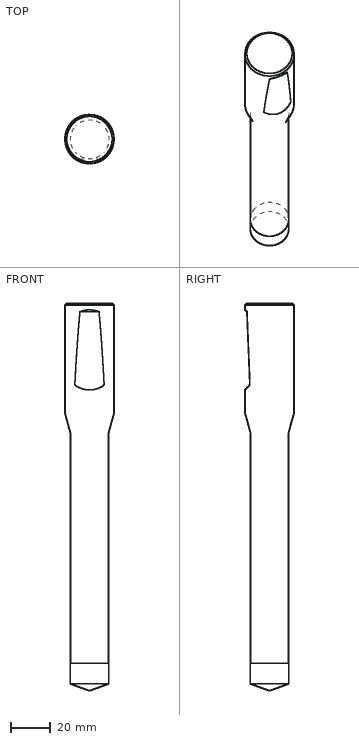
import cadquery as cq
import math

total_length = 196.5
shank_length = 55.8
collar_length = 10.0
tip_length = 14.0

shank_diameter = 25.0
drill_diameter = 19.5
tip_diameter = 19.6
shank_chamfer = 1.0
point_angle = 140.0

flat_top_gap = 4.3
flat_length = 37.1
flat_top_depth = 1.0
flat_tilt = 2.3
flat_fillet = 1.5

shank_radius = shank_diameter / 2
drill_radius = drill_diameter / 2
tip_radius = tip_diameter / 2
point_height = tip_radius / math.tan(math.radians(point_angle / 2))
collar_top = total_length - shank_length
collar_bottom = collar_top - collar_length


def make_flat_cutter():
    """Wedge with a tilted floor and 45 degree walls at both ends."""
    margin = 2.0
    top_z = total_length - flat_top_gap
    bottom_z = top_z - flat_length
    bottom_depth = flat_top_depth + flat_length * math.tan(math.radians(flat_tilt))
    outer_y = -shank_radius - margin
    profile = [
        (outer_y, top_z + flat_top_depth + margin),
        (-shank_radius + flat_top_depth, top_z),
        (-shank_radius + bottom_depth, bottom_z),
        (outer_y, bottom_z - bottom_depth - margin),
    ]
    cutter = cq.Workplane("YZ").polyline(profile).close().extrude(shank_radius, both=True)
    lower_corner = cq.selectors.NearestToPointSelector((0, -shank_radius + bottom_depth, bottom_z))
    return cutter.edges("|X").edges(lower_corner).fillet(flat_fillet)


def make_holder():
    """Shank, conical collar and plain body down to the cutting tip."""
    profile = [
        (0, tip_length),
        (drill_radius, tip_length),
        (drill_radius, collar_bottom),
        (shank_radius, collar_top),
        (shank_radius, total_length - shank_chamfer),
        (shank_radius - shank_chamfer, total_length),
        (0, total_length),
    ]
    body = cq.Workplane("XZ").polyline(profile).close().revolve(360, (0, 0), (0, 1))
    return body.cut(make_flat_cutter())


def make_cutting_tip():
    """Short cylinder, slightly wider than the body, ending in a conical point."""
    profile = [
        (0, 0),
        (tip_radius, point_height),
        (tip_radius, tip_length),
        (0, tip_length),
    ]
    return cq.Workplane("XZ").polyline(profile).close().revolve(360, (0, 0), (0, 1))


holder = make_holder()
cutting_tip = make_cutting_tip()

result = cq.Compound.makeCompound([holder.val(), cutting_tip.val()])